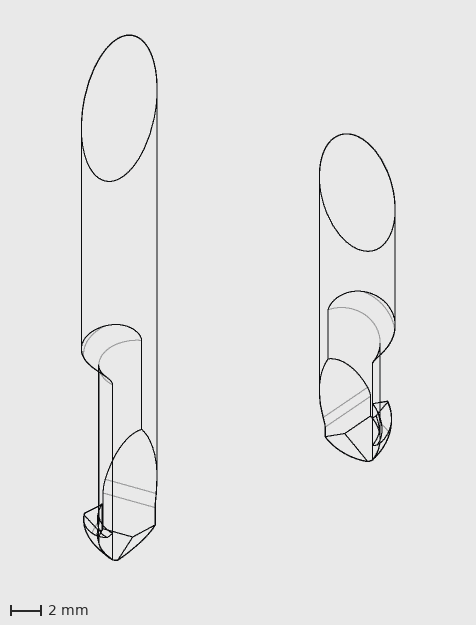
import cadquery as cq
import math

LENGTH = 41.6
SHANK_RADIUS = 2.5
BEVEL_ANGLE = 30.0

NECK_DEPTH = 1.25
NECK_RADIUS = 2.55
NECK_TOP = 16.25
NECK_FILLET = 1.0
NECK_CENTRE_X = NECK_RADIUS + NECK_DEPTH - SHANK_RADIUS

NECK_EDGE_X = (SHANK_RADIUS**2 - NECK_RADIUS**2 + NECK_CENTRE_X**2) / (2 * NECK_CENTRE_X)
NECK_EDGE_Y = -math.sqrt(SHANK_RADIUS**2 - NECK_EDGE_X**2)

FLAT_Y = 0.2
FLAT_START = 7.6
FLAT_ANGLE = 30.0
FLAT_FILLET = 2.0

HEEL_CHAMFER = 1.62

POINT_X = -SHANK_RADIUS
POINT_LOW = 0.9
POINT_HIGH = 1.1
FLANK_CENTRE_X = 2.08
FLANK_CENTRE_Y = 1.1
FLANK_RADIUS = math.hypot(FLANK_CENTRE_X - POINT_X, FLANK_CENTRE_Y)

BACK_LEVEL = 3.4
BACK_SLOPE_X = 0.6
BACK_SLOPE_Y = 0.7

COLLAR_TOP = 2.33
COLLAR_HEIGHT = 0.75
COLLAR_FLARE = 0.15

RELIEF_CENTRE_X = 0.6
POINT_OFFSET = POINT_X - RELIEF_CENTRE_X
EDGE_OFFSET = NECK_EDGE_X - RELIEF_CENTRE_X
RELIEF_CENTRE_Y = (EDGE_OFFSET**2 + NECK_EDGE_Y**2 - POINT_OFFSET**2) / (2 * NECK_EDGE_Y)
RELIEF_RADIUS = math.hypot(POINT_OFFSET, RELIEF_CENTRE_Y)

REACH = 4 * SHANK_RADIUS


def make_plain_bar():
    """Round bar with a slanted top end, high at +Y."""
    bar = cq.Workplane("XY").circle(SHANK_RADIUS).extrude(LENGTH)
    bevel_drop = 2 * SHANK_RADIUS / math.tan(math.radians(BEVEL_ANGLE))
    wedge = (
        cq.Workplane("YZ")
        .moveTo(SHANK_RADIUS, LENGTH)
        .lineTo(-SHANK_RADIUS, LENGTH - bevel_drop)
        .lineTo(-SHANK_RADIUS, LENGTH)
        .close()
        .extrude(SHANK_RADIUS, both=True)
    )
    return bar.cut(wedge)


def neck_side_block(top_y):
    """Block on the -X side of the neck edge, from top_y towards -Y."""
    return (
        cq.Workplane("XY")
        .moveTo(NECK_EDGE_X, top_y)
        .lineTo(-REACH, top_y)
        .lineTo(-REACH, -REACH)
        .lineTo(NECK_EDGE_X, -REACH)
        .close()
        .extrude(NECK_TOP)
    )


def make_neck_cutter():
    """Material outside the neck cylinder, with a concave blend at its top."""
    fillet_base = NECK_TOP - NECK_FILLET
    arc_middle = NECK_FILLET * math.sqrt(0.5)
    core = (
        cq.Workplane("XZ")
        .lineTo(NECK_RADIUS, 0)
        .lineTo(NECK_RADIUS, fillet_base)
        .threePointArc(
            (NECK_RADIUS + NECK_FILLET - arc_middle, fillet_base + arc_middle),
            (NECK_RADIUS + NECK_FILLET, NECK_TOP),
        )
        .lineTo(0, NECK_TOP)
        .close()
        .revolve(360, (0, 0, 0), (0, 1, 0))
        .translate((NECK_CENTRE_X, 0, 0))
    )
    return neck_side_block(REACH).cut(core)


def make_flat_cutter():
    """Flat that runs out through a fillet and a slanted face at +Y."""
    slant_rise = (SHANK_RADIUS - FLAT_Y) / math.tan(math.radians(FLAT_ANGLE))
    corner_z = FLAT_START - slant_rise
    cutter = (
        cq.Workplane("YZ")
        .moveTo(FLAT_Y, 0)
        .lineTo(FLAT_Y, corner_z)
        .lineTo(SHANK_RADIUS, FLAT_START)
        .lineTo(REACH, FLAT_START)
        .lineTo(REACH, 0)
        .close()
        .extrude(REACH, both=True)
    )
    corner = cq.selectors.NearestToPointSelector((0, FLAT_Y, corner_z))
    return cutter.edges("|X").edges(corner).fillet(FLAT_FILLET)


def make_heel_cutter():
    """45 degree corner at the +X side of the lower end."""
    return (
        cq.Workplane("XZ")
        .moveTo(SHANK_RADIUS - HEEL_CHAMFER, 0)
        .lineTo(SHANK_RADIUS, HEEL_CHAMFER)
        .lineTo(SHANK_RADIUS, 0)
        .close()
        .extrude(REACH, both=True)
    )


def make_bar():
    """Shank and neck in one piece."""
    return make_plain_bar().cut(make_neck_cutter()).cut(make_flat_cutter()).cut(make_heel_cutter())


def make_flanks():
    """Double cone whose rim carries the cutting point."""
    return (
        cq.Workplane("XZ")
        .moveTo(0, POINT_LOW - FLANK_RADIUS)
        .lineTo(FLANK_RADIUS, POINT_LOW)
        .lineTo(FLANK_RADIUS, POINT_HIGH)
        .lineTo(0, POINT_HIGH + FLANK_RADIUS)
        .close()
        .revolve(360, (0, 0, 0), (0, 1, 0))
        .translate((FLANK_CENTRE_X, FLANK_CENTRE_Y, 0))
    )


def make_back_cutter():
    """Everything above the sloped plane at the back of the tooth."""
    back_plane = cq.Plane(origin=(0, 0, BACK_LEVEL), normal=(-BACK_SLOPE_X, -BACK_SLOPE_Y, 1))
    return cq.Workplane(back_plane).rect(2 * REACH, 2 * REACH).extrude(REACH)


def make_collar():
    """Cone around the neck that widens downwards into the tooth."""
    return (
        cq.Workplane("XY", origin=(NECK_CENTRE_X, 0, COLLAR_TOP - COLLAR_HEIGHT))
        .circle(NECK_RADIUS + COLLAR_FLARE)
        .workplane(offset=COLLAR_HEIGHT)
        .circle(NECK_RADIUS)
        .loft()
    )


def make_tooth():
    """Pointed tooth seated on the neck cylinder."""
    relief = (
        cq.Workplane("XY")
        .center(RELIEF_CENTRE_X, RELIEF_CENTRE_Y)
        .circle(RELIEF_RADIUS)
        .extrude(NECK_TOP)
    )
    neck_core = cq.Workplane("XY").center(NECK_CENTRE_X, 0).circle(NECK_RADIUS).extrude(NECK_TOP)
    tooth = make_flanks().cut(make_back_cutter()).union(make_collar())
    return tooth.intersect(relief).intersect(neck_side_block(0)).cut(neck_core)


bar = make_bar()
tooth = make_tooth()

result = cq.Compound.makeCompound([bar.solids().val(), tooth.solids().val()])